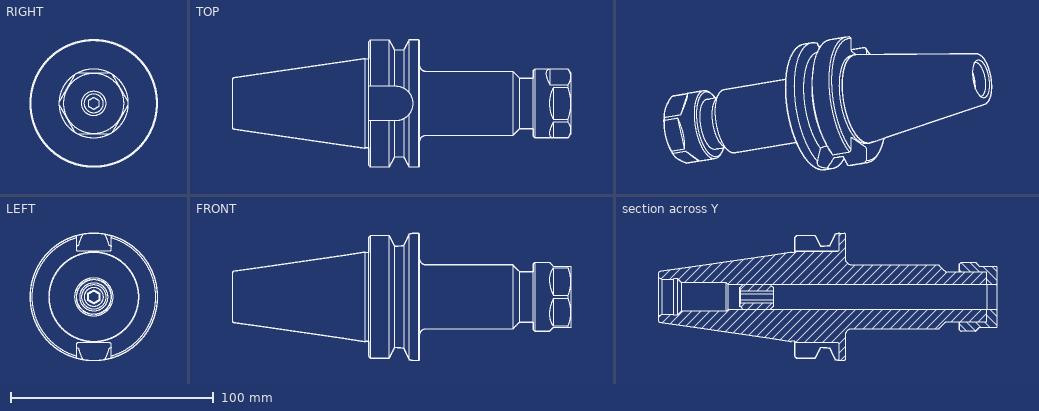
import cadquery as cq
import math


TAPER_RATE = 7 / 24
TAPER_LENGTH = 65.5
TAPER_LARGE_RADIUS = 22.2
TAPER_SMALL_RADIUS = TAPER_LARGE_RADIUS - TAPER_LENGTH * TAPER_RATE / 2
SHANK_END_ROUNDING = 1.0
NECK_RADIUS = 44.0 / 2

FLANGE_RADIUS = 63.0 / 2
FLANGE_START = 67.1
FLANGE_END = 92.4
GROOVE_RADIUS = 53.0 / 2
GROOVE_FLOOR_START = 80.0
GROOVE_FLOOR_END = 84.5
GROOVE_WALL_RUN = 2.7
FLANGE_FRONT_CHAMFER = 1.0
FLANGE_BACK_CHAMFER = 0.5

SLOT_WIDTH = 17.0
SLOT_END = 89.0
SLOT_FLOOR = 22.5
SLOT_FLOOR_FILLET = 0.8

BODY_RADIUS = 31.7 / 2
BODY_FILLET = 3.0
BODY_END = 141.6
SPIGOT_RADIUS = 25 / 2
BODY_CHAMFER = BODY_RADIUS - SPIGOT_RADIUS

MOUTH_RADIUS = 18.9 / 2
COUNTERBORE_RADIUS = 17.0 / 2
THREAD_RADIUS = 13.9 / 2
BORE_RADIUS = 12.0 / 2
MOUTH_DEPTH = 1.7
COUNTERBORE_DEPTH = 7.5
RELIEF_RADIUS = 17.7 / 2
RELIEF_DEPTH = 9.5
THREAD_DEPTH = 33.4

NUT_START = 148.3
NUT_END = 167.0
NUT_RADIUS = 34.0 / 2
NUT_BACK_CHAMFER = 0.8
NUT_NOSE_RADIUS = 14.9
NUT_NOSE_CHAMFER = 1.5
HEX_ACROSS_FLATS = 30.2
HEX_START = 158.3
LONG_FLAT_START = 156.6
LONG_FLAT_ANGLE = 300
NUT_LIP = 5.0
SPIGOT_END = NUT_END - NUT_LIP

SCREW_START = 40.0
SCREW_LENGTH = 16.7
SCREW_END = SCREW_START + SCREW_LENGTH
SCREW_SHOULDER_RADIUS = 10.7 / 2
SCREW_TIP_RADIUS = 9.4 / 2
SCREW_SHOULDER_RUN = 0.5
SCREW_TIP_RUN = 0.8
SOCKET_ACROSS_FLATS = 5.0
SOCKET_MOUTH_ACROSS_FLATS = 6.0
SOCKET_MOUTH_DEPTH = 0.5


def revolved(outline):
    """Turn a closed (x, radius) outline around the X axis."""
    return outline.close().revolve(360, (0, 0, 0), (1, 0, 0))


def hexagon_diameter(across_flats):
    """Diameter across the corners of a hexagon."""
    return across_flats / math.cos(math.radians(30))


def holder_blank():
    """Shank, flange and chuck body without bore or slots."""
    rounding_top = TAPER_SMALL_RADIUS + SHANK_END_ROUNDING * TAPER_RATE / 2
    outline = (
        cq.Workplane("XY")
        .moveTo(0, 0)
        .lineTo(0, rounding_top - SHANK_END_ROUNDING)
        .radiusArc((SHANK_END_ROUNDING, rounding_top), SHANK_END_ROUNDING)
        .lineTo(TAPER_LENGTH, TAPER_LARGE_RADIUS)
        .lineTo(TAPER_LENGTH, NECK_RADIUS)
        .lineTo(FLANGE_START, NECK_RADIUS)
        .lineTo(FLANGE_START, FLANGE_RADIUS - FLANGE_FRONT_CHAMFER)
        .lineTo(FLANGE_START + FLANGE_FRONT_CHAMFER, FLANGE_RADIUS)
        .lineTo(GROOVE_FLOOR_START - GROOVE_WALL_RUN, FLANGE_RADIUS)
        .lineTo(GROOVE_FLOOR_START, GROOVE_RADIUS)
        .lineTo(GROOVE_FLOOR_END, GROOVE_RADIUS)
        .lineTo(GROOVE_FLOOR_END + GROOVE_WALL_RUN, FLANGE_RADIUS)
        .lineTo(FLANGE_END - FLANGE_BACK_CHAMFER, FLANGE_RADIUS)
        .lineTo(FLANGE_END, FLANGE_RADIUS - FLANGE_BACK_CHAMFER)
        .lineTo(FLANGE_END, BODY_RADIUS + BODY_FILLET)
        .radiusArc((FLANGE_END + BODY_FILLET, BODY_RADIUS), -BODY_FILLET)
        .lineTo(BODY_END - BODY_CHAMFER, BODY_RADIUS)
        .lineTo(BODY_END, SPIGOT_RADIUS)
        .lineTo(SPIGOT_END, SPIGOT_RADIUS)
        .lineTo(SPIGOT_END, 0)
    )
    return revolved(outline)


def holder_bore():
    """Stepped bore with a relief groove; its two deeper steps are 45 degree cones."""
    relief_cone = RELIEF_RADIUS - THREAD_RADIUS
    thread_cone = THREAD_RADIUS - BORE_RADIUS
    outline = (
        cq.Workplane("XY")
        .moveTo(0, 0)
        .lineTo(0, MOUTH_RADIUS)
        .lineTo(MOUTH_DEPTH, COUNTERBORE_RADIUS)
        .lineTo(COUNTERBORE_DEPTH, COUNTERBORE_RADIUS)
        .lineTo(COUNTERBORE_DEPTH, RELIEF_RADIUS)
        .lineTo(RELIEF_DEPTH, RELIEF_RADIUS)
        .lineTo(RELIEF_DEPTH + relief_cone, THREAD_RADIUS)
        .lineTo(THREAD_DEPTH, THREAD_RADIUS)
        .lineTo(THREAD_DEPTH + thread_cone, BORE_RADIUS)
        .lineTo(SPIGOT_END, BORE_RADIUS)
        .lineTo(SPIGOT_END, 0)
    )
    return revolved(outline)


def drive_slot():
    """Round-ended slot at the top of the flange, with a filleted floor."""
    end_radius = SLOT_WIDTH / 2
    arc_centre = SLOT_END - end_radius
    return (
        cq.Workplane("XY", origin=(0, 0, SLOT_FLOOR))
        .moveTo(TAPER_LENGTH, -end_radius)
        .lineTo(arc_centre, -end_radius)
        .threePointArc((SLOT_END, 0), (arc_centre, end_radius))
        .lineTo(TAPER_LENGTH, end_radius)
        .close()
        .extrude(FLANGE_RADIUS)
        .faces("<Z")
        .edges("not <X")
        .fillet(SLOT_FLOOR_FILLET)
    )


def make_holder():
    holder = holder_blank().cut(holder_bore())
    for angle in (0, 180):
        holder = holder.cut(drive_slot().rotate((0, 0, 0), (1, 0, 0), angle))
    return holder


def nut_blank():
    """Turned nut with a recess that fits the holder's spigot."""
    outline = (
        cq.Workplane("XY")
        .moveTo(NUT_START, SPIGOT_RADIUS)
        .lineTo(NUT_START, NUT_RADIUS - NUT_BACK_CHAMFER)
        .lineTo(NUT_START + NUT_BACK_CHAMFER, NUT_RADIUS)
        .lineTo(NUT_END - NUT_NOSE_CHAMFER, NUT_RADIUS)
        .lineTo(NUT_END, NUT_NOSE_RADIUS)
        .lineTo(NUT_END, BORE_RADIUS)
        .lineTo(SPIGOT_END, BORE_RADIUS)
        .lineTo(SPIGOT_END, SPIGOT_RADIUS)
    )
    return revolved(outline)


def wrench_flat(start):
    """Cutter for the top flat, which runs out at 45 degrees."""
    flat_height = HEX_ACROSS_FLATS / 2
    cutter_rise = NUT_RADIUS
    return (
        cq.Workplane("XZ")
        .moveTo(start, flat_height)
        .lineTo(NUT_END, flat_height)
        .lineTo(NUT_END, flat_height + cutter_rise)
        .lineTo(start - cutter_rise, flat_height + cutter_rise)
        .close()
        .extrude(NUT_RADIUS, both=True)
    )


def make_nut():
    nut = nut_blank()
    for angle in range(0, 360, 60):
        start = LONG_FLAT_START if angle == LONG_FLAT_ANGLE else HEX_START
        nut = nut.cut(wrench_flat(start).rotate((0, 0, 0), (1, 0, 0), angle))
    return nut


def screw_blank():
    """Screw with both ends tapered in two steps."""
    outline = (
        cq.Workplane("XY")
        .moveTo(SCREW_START, 0)
        .lineTo(SCREW_START, SCREW_TIP_RADIUS)
        .lineTo(SCREW_START + SCREW_TIP_RUN, SCREW_SHOULDER_RADIUS)
        .lineTo(SCREW_START + SCREW_TIP_RUN + SCREW_SHOULDER_RUN, BORE_RADIUS)
        .lineTo(SCREW_END - SCREW_TIP_RUN - SCREW_SHOULDER_RUN, BORE_RADIUS)
        .lineTo(SCREW_END - SCREW_TIP_RUN, SCREW_SHOULDER_RADIUS)
        .lineTo(SCREW_END, SCREW_TIP_RADIUS)
        .lineTo(SCREW_END, 0)
    )
    return revolved(outline)


def screw_socket():
    """Hexagon socket through the screw, corners at top and bottom, with a tapered mouth."""
    mouth_taper = math.atan((SOCKET_MOUTH_ACROSS_FLATS - SOCKET_ACROSS_FLATS) / 2 / SOCKET_MOUTH_DEPTH)
    start_plane = cq.Workplane("YZ", origin=(SCREW_START, 0, 0)).transformed(rotate=(0, 0, 90))
    mouth = start_plane.polygon(6, hexagon_diameter(SOCKET_MOUTH_ACROSS_FLATS)).extrude(
        SOCKET_MOUTH_DEPTH, taper=math.degrees(mouth_taper)
    )
    socket = start_plane.polygon(6, hexagon_diameter(SOCKET_ACROSS_FLATS)).extrude(SCREW_LENGTH)
    return socket.union(mouth)


def make_screw():
    return screw_blank().cut(screw_socket())


holder = make_holder()
nut = make_nut()
bore_screw = make_screw()

result = cq.Compound.makeCompound([holder.val(), nut.val(), bore_screw.val()])